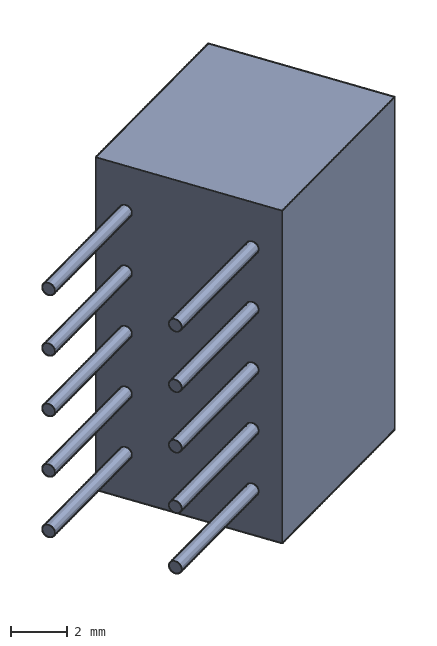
import cadquery as cq

body_width = 7.5
body_height = 14.0
overall_depth = 14.3
pin_length = 5.8
body_depth = overall_depth - pin_length

pin_diameter = 0.51
pin_pitch = 2.55
column_spacing = 2 * pin_pitch
pins_per_column = 5
column_count = 2


def make_body():
    """Block with its front face on the XZ plane, extending toward +Y."""
    return cq.Workplane("XY").box(body_width, body_depth, body_height, centered=(True, False, True))


def make_pins():
    """Grid of pins reaching from the front face toward -Y."""
    return (
        cq.Workplane("XZ")
        .rarray(column_spacing, pin_pitch, column_count, pins_per_column)
        .circle(pin_diameter / 2)
        .extrude(pin_length)
    )


result = make_body().union(make_pins())